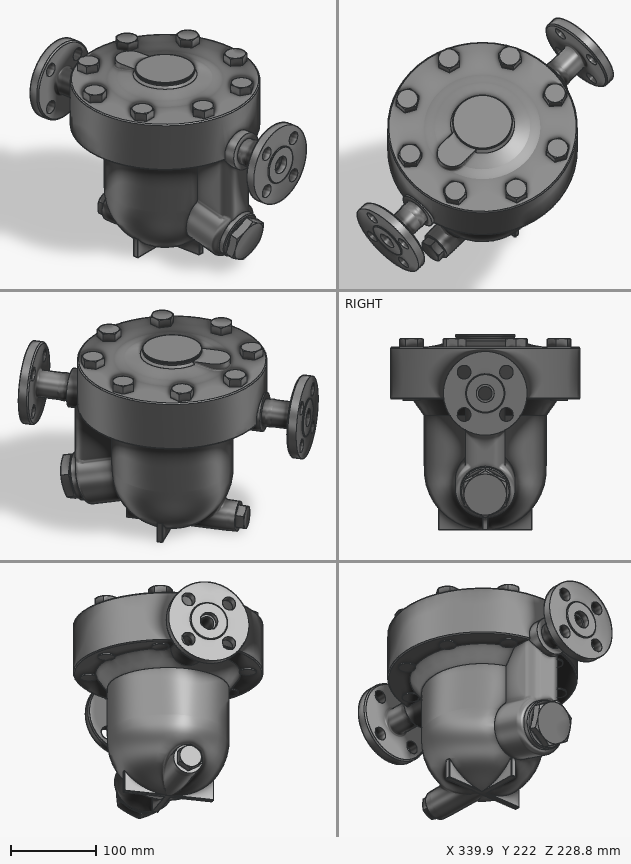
import cadquery as cq
import math

total_height = 228.8
cover_top = 214.2
cover_joint = 186.3
body_flange_bottom = 153.5
neck_bottom = 134.3
pipe_height = 160.0

overlap = 3.5
match_tolerance = 0.01

flange_radius = 222.0 / 2
flange_edge = 1.5
flat_offset_bottom = 108.5

bowl_radius = 71.5
dome_height = 75.5
neck_top_radius = 85.0

crown_radius = 68.0
crown_bend_radius = 56.0
crown_bend_height = 2.0
crown_slope_end_radius = 37.5
crown_slope_end_height = 7.0
crown_neck_radius = 34.0
crown_neck_height = 10.0
cap_radius = 70.0 / 2
cap_thickness = 2.5
cap_edge = 0.7
lug_radius = 17.7
lug_reach = 52.5
lug_top = 224.5
lug_fillet = 2.0

bolt_count = 8
bolt_circle_radius = 93.5
bolt_flats = 24.0
bolt_head_height = 10.2
bolt_edge = 1.0
bolt_diameter = 20.0
bolt_tip = 1.7

inlet_face = -112.5
outlet_face = 122.0
port_radius = 46.0 / 2
pipe_radius = 32.0 / 2
weld_start = 4.8
weld_width = 7.0
weld_height = 0.7
hub_radius = 3.5
pipe_flange_radius = 98.0 / 2
pipe_flange_thickness = 12.0
pipe_flange_edge = 1.7
raised_face_radius = 46.0 / 2
raised_face_height = 1.5
raised_face_edge = 1.0
pipe_length = 52.7
pipe_hole_diameter = 16.0
pipe_hole_circle = 70.0
pipe_hole_count = 4
mouth_diameter = 21.0
mouth_depth = 7.8
bore_diameter = 16.0

passage_end = 114.5
passage_fillet = 13.5
valve_tilt = 15.0
valve_radius = 70.0 / 2
valve_length = 110.0
valve_fillet = 6.8
valve_root_fillet = 6.8
plug_collar_radius = 58.0 / 2
plug_collar_end = 117.5
plug_neck_radius = 23.8
plug_head_start = 119.7
plug_collar_edge = 1.5
plug_flats = 49.5
plug_end = 130.5
plug_edge = 1.5

drain_radius = 36.0 / 2
drain_face = -80.5
drain_taper_length = 10.2
drain_taper = 0.5
drain_fillet = 3.5
drain_root_end = 17.0
drain_plug_flats = 26.2
drain_plug_height = 10.2
drain_plug_edge = 1.0

foot_reach = 54.7
foot_thickness = 6.8
foot_height = 26.0
foot_edge = 0.7


def hexagon_head(plane, flats, height, edge):
    """Hexagon head on a plane, a corner on its X axis, outer corners turned to a cone."""
    corners = flats / math.cos(math.pi / 6)
    prism = cq.Workplane(plane).polygon(6, corners).extrude(height)
    outer_face = cq.selectors.DirectionMinMaxSelector(plane.zDir, True)
    turned = (
        cq.Workplane(plane)
        .circle(corners / 2)
        .extrude(height)
        .faces(outer_face)
        .chamfer(edge, (corners - flats) / 2)
    )
    return prism.intersect(turned)


def make_bowl():
    dome_radius = (bowl_radius**2 + dome_height**2) / (2 * dome_height)
    middle = math.pi / 4
    profile = (
        cq.Workplane("XZ")
        .moveTo(0, 0)
        .threePointArc(
            (dome_radius * math.sin(middle), dome_radius * (1 - math.cos(middle))),
            (bowl_radius, dome_height),
        )
        .lineTo(bowl_radius, neck_bottom)
        .lineTo(neck_top_radius, body_flange_bottom)
        .lineTo(neck_top_radius, cover_joint)
        .lineTo(0, cover_joint)
        .close()
    )
    return profile.revolve(360, (0, 0, 0), (0, 1, 0))


def make_body_flange():
    """Round flange with a sloping flat below the joint on the inlet and outlet sides."""
    height = cover_joint - body_flange_bottom
    flange = cq.Workplane(cq.Plane((0, 0, body_flange_bottom))).circle(flange_radius).extrude(height)
    flange = flange.faces("<Z").chamfer(flange_edge)
    keep = (
        cq.Workplane("XZ")
        .polyline([
            (-flat_offset_bottom, body_flange_bottom),
            (flat_offset_bottom, body_flange_bottom),
            (flange_radius, cover_joint),
            (-flange_radius, cover_joint),
        ])
        .close()
        .extrude(flange_radius, both=True)
    )
    return flange.intersect(keep)


def make_cover():
    plate = (
        cq.Workplane(cq.Plane((0, 0, cover_joint)))
        .circle(flange_radius)
        .extrude(cover_top - cover_joint)
        .faces(">Z")
        .chamfer(flange_edge)
    )
    cap_bottom = total_height - cap_thickness
    crown = (
        cq.Workplane("XZ")
        .moveTo(0, cover_top - overlap)
        .lineTo(crown_radius, cover_top - overlap)
        .lineTo(crown_radius, cover_top)
        .lineTo(crown_bend_radius, cover_top + crown_bend_height)
        .lineTo(crown_slope_end_radius, cover_top + crown_slope_end_height)
        .lineTo(crown_neck_radius, cover_top + crown_neck_height)
        .lineTo(crown_neck_radius, cap_bottom)
        .lineTo(cap_radius, cap_bottom)
        .lineTo(cap_radius, total_height - cap_edge)
        .lineTo(cap_radius - cap_edge, total_height)
        .lineTo(0, total_height)
        .close()
        .revolve(360, (0, 0, 0), (0, 1, 0))
    )
    lug = (
        cq.Workplane(cq.Plane((-lug_reach, 0, cover_top - overlap)))
        .circle(lug_radius)
        .extrude(lug_top - cover_top + overlap)
        .union(
            cq.Workplane(cq.Plane((-lug_reach / 2, 0, cover_top - overlap)))
            .rect(lug_reach, 2 * lug_radius)
            .extrude(lug_top - cover_top + overlap)
        )
    )
    cover = plate.union(crown).union(lug)
    lug_foot = cq.selectors.BoxSelector(
        (-lug_reach - lug_radius - overlap, -lug_radius - overlap, cover_top - overlap / 2),
        (-cap_radius, lug_radius + overlap, lug_top - overlap),
    )
    return cover.edges(lug_foot).fillet(lug_fillet)


def add_bolts(body):
    head_plane = cq.Plane((bolt_circle_radius, 0, cover_top))
    head = hexagon_head(head_plane, bolt_flats, bolt_head_height, bolt_edge)
    tip = (
        cq.Workplane(cq.Plane((bolt_circle_radius, 0, body_flange_bottom - bolt_tip)))
        .circle(bolt_diameter / 2)
        .extrude(bolt_tip + overlap)
    )
    pitch = 360 / bolt_count
    for i in range(bolt_count):
        turned_head = head.rotate(
            (bolt_circle_radius, 0, 0), (bolt_circle_radius, 0, 1), -pitch / 2
        )
        angle = pitch * (i + 0.5)
        for piece in (turned_head, tip):
            body = body.union(piece.rotate((0, 0, 0), (0, 0, 1), angle))
    return body


def make_pipe():
    """Flanged pipe along +X from the port face at X = 0, axis on the X axis."""
    flange_front = pipe_length - raised_face_height
    flange_back = flange_front - pipe_flange_thickness
    weld_end = weld_start + weld_width
    profile = (
        cq.Workplane("XY")
        .moveTo(-overlap, 0)
        .lineTo(-overlap, pipe_radius)
        .lineTo(weld_start, pipe_radius)
        .threePointArc(
            (weld_start + weld_width / 2, pipe_radius + weld_height), (weld_end, pipe_radius)
        )
        .lineTo(flange_back - hub_radius, pipe_radius)
        .radiusArc((flange_back, pipe_radius + hub_radius), -hub_radius)
        .lineTo(flange_back, pipe_flange_radius - pipe_flange_edge)
        .lineTo(flange_back + pipe_flange_edge, pipe_flange_radius)
        .lineTo(flange_front, pipe_flange_radius)
        .lineTo(flange_front, raised_face_radius)
        .lineTo(pipe_length - raised_face_edge, raised_face_radius)
        .lineTo(pipe_length, raised_face_radius - raised_face_edge)
        .lineTo(pipe_length, 0)
        .close()
    )
    pipe = profile.revolve(360, (0, 0, 0), (1, 0, 0))
    holes = (
        cq.Workplane(cq.Plane((flange_back, 0, 0), (0, 1, 0), (1, 0, 0)))
        .polarArray(pipe_hole_circle / 2, 180 / pipe_hole_count, 360, pipe_hole_count)
        .circle(pipe_hole_diameter / 2)
        .extrude(pipe_flange_thickness)
    )
    bore = cq.Workplane("YZ").circle(bore_diameter / 2).extrude(pipe_length)
    mouth = (
        cq.Workplane("YZ", origin=(pipe_length - mouth_depth, 0, 0))
        .circle(mouth_diameter / 2)
        .extrude(mouth_depth)
    )
    return pipe.cut(holes).cut(bore).cut(mouth)


def make_ports():
    """Round port boss through the body with a flanged pipe on each face."""
    boss = (
        cq.Workplane("YZ", origin=(inlet_face, 0, pipe_height))
        .circle(port_radius)
        .extrude(outlet_face - inlet_face)
    )
    pipe = make_pipe()
    outlet = pipe.translate((outlet_face, 0, pipe_height))
    inlet = pipe.mirror("YZ").translate((inlet_face, 0, pipe_height))
    return boss, outlet, inlet


def make_passage():
    """Upright outlet passage, as wide as the port boss, from the valve boss up to the port."""
    bottom = dome_height - passage_end * math.tan(math.radians(valve_tilt))
    return (
        cq.Workplane(cq.Plane((passage_end / 2, 0, bottom)))
        .rect(passage_end, 2 * port_radius)
        .extrude(pipe_height - bottom)
        .edges("|Z and >X")
        .fillet(passage_fillet)
    )


def valve_plane(distance):
    """Plane across the valve axis, which leaves the bowl centre sloping down toward +X."""
    tilt = math.radians(valve_tilt)
    axis = cq.Vector(math.cos(tilt), 0, -math.sin(tilt))
    upright = cq.Vector(math.sin(tilt), 0, math.cos(tilt))
    return cq.Plane(cq.Vector(0, 0, dome_height) + axis * distance, upright, axis)


def join_valve(passage, boss):
    """Valve boss and passage as one piece, filleted along the two lines where they meet."""
    joined = passage.union(boss)
    axis = valve_plane(0).zDir
    seams = [
        edge
        for edge in joined.edges().vals()
        if edge.geomType() == "LINE"
        and edge.tangentAt(0).cross(axis).Length < match_tolerance
        and abs(abs(edge.Center().y) - port_radius) < match_tolerance
    ]
    return joined.newObject(seams).fillet(valve_root_fillet)


def make_valve_boss():
    boss = cq.Workplane(valve_plane(0)).circle(valve_radius).extrude(valve_length)
    outer_face = cq.selectors.DirectionMinMaxSelector(valve_plane(0).zDir, True)
    boss = boss.faces(outer_face).edges().fillet(valve_fillet)
    collar = (
        cq.Workplane(valve_plane(valve_length - overlap))
        .circle(plug_collar_radius)
        .extrude(plug_collar_end - valve_length + overlap)
        .faces(outer_face)
        .chamfer(plug_collar_edge)
    )
    head = hexagon_head(
        valve_plane(plug_head_start), plug_flats, plug_end - plug_head_start, plug_edge
    )
    neck = (
        cq.Workplane(valve_plane(plug_collar_end))
        .circle(plug_neck_radius)
        .extrude(plug_head_start - plug_collar_end)
    )
    return boss.union(collar).union(neck).union(head)


def add_drain(bowl):
    """Drain boss with a slightly tapered end, a rounded root on the bowl and a hexagon plug."""
    root = drain_face + drain_taper_length
    boss = (
        cq.Workplane("XY")
        .moveTo(drain_face, 0)
        .lineTo(drain_face, drain_radius - drain_taper)
        .lineTo(root, drain_radius)
        .lineTo(0, drain_radius)
        .lineTo(0, 0)
        .close()
        .revolve(360, (0, 0, 0), (1, 0, 0))
        .translate((0, 0, drain_radius))
    )
    near_root = cq.Workplane("XY").box(
        -drain_face, 4 * drain_radius, 4 * drain_radius, centered=(False, True, False)
    ).translate((drain_face - drain_root_end, 0, 0))
    rounded = bowl.union(boss).intersect(near_root)
    root_curve = [edge for edge in rounded.edges().vals() if edge.geomType() == "BSPLINE"]
    rounded = rounded.newObject(root_curve).fillet(drain_fillet)
    head_plane = cq.Plane((drain_face, 0, drain_radius), (0, 0, 1), (-1, 0, 0))
    head = hexagon_head(head_plane, drain_plug_flats, drain_plug_height, drain_plug_edge)
    return bowl.union(boss).union(rounded).union(head)


def make_feet():
    side_feet = cq.Workplane("XY").box(
        foot_thickness, 2 * foot_reach, foot_height, centered=(True, True, False)
    )
    outlet_foot = cq.Workplane("XY").box(
        foot_reach, foot_thickness, foot_height, centered=(False, True, False)
    )
    feet = side_feet.edges("|Z or >Z or <Z").chamfer(foot_edge)
    return feet.union(outlet_foot.edges(">X").chamfer(foot_edge))


result = add_drain(make_bowl())
for part in (make_body_flange(), make_cover(), *make_ports()):
    result = result.union(part)
for part in (join_valve(make_passage(), make_valve_boss()), make_feet()):
    result = result.union(part)
result = add_bolts(result)